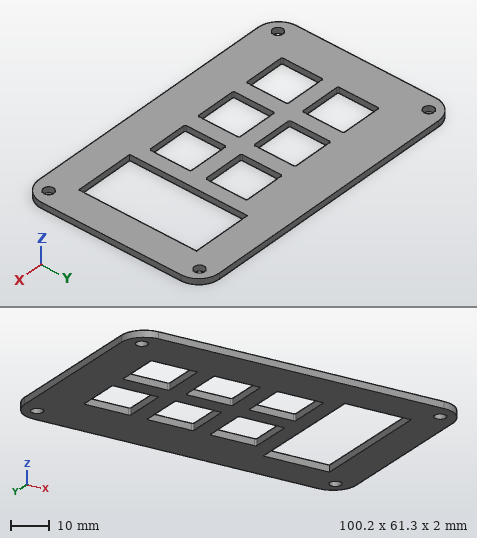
import cadquery as cq

plate_length = 100.2
plate_width = 61.3
plate_thickness = 2.0
plate_corner_radius = 7.0

hole_diameter = 3.4
hole_inset = 5.0

key_columns = 3
key_rows = 2
key_pitch = 19.05
key_opening_size = 14.0
key_corner_radius = 0.5
key_grid_center = (-11.2, -1.0)

window_length = 20.0
window_width = 40.0
window_center = (29.75, 0.0)


def rounded_block(length, width, corner_radius):
    """Block of plate thickness standing on Z = 0, with rounded vertical edges."""
    block = cq.Workplane("XY").box(length, width, plate_thickness, centered=(True, True, False))
    return block.edges("|Z").fillet(corner_radius)


def cut_mounting_holes(plate):
    """Drill a through hole at each corner."""
    spacing_x = plate_length - 2 * hole_inset
    spacing_y = plate_width - 2 * hole_inset
    return plate.faces(">Z").workplane(origin=(0, 0, 0)).rect(
        spacing_x, spacing_y, forConstruction=True
    ).vertices().hole(hole_diameter)


def cut_key_openings(plate):
    """Cut the grid of rounded square openings."""
    opening = rounded_block(key_opening_size, key_opening_size, key_corner_radius)
    center_x, center_y = key_grid_center
    for column in range(key_columns):
        for row in range(key_rows):
            x = center_x + (column - (key_columns - 1) / 2) * key_pitch
            y = center_y + (row - (key_rows - 1) / 2) * key_pitch
            plate = plate.cut(opening.translate((x, y, 0)))
    return plate


def cut_window(plate):
    """Cut the sharp-cornered rectangular window."""
    window = cq.Workplane("XY").center(*window_center).rect(window_length, window_width)
    return plate.cut(window.extrude(plate_thickness))


result = rounded_block(plate_length, plate_width, plate_corner_radius)
result = cut_mounting_holes(result)
result = cut_key_openings(result)
result = cut_window(result)